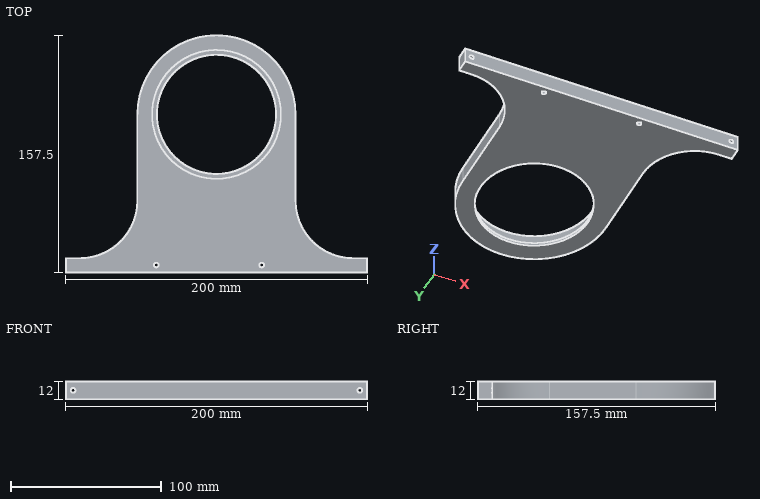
import cadquery as cq

foot_length = 200.0
thickness = 12.0
foot_height = 9.5

ring_radius = 52.5
ring_center_y = 105.0
corner_radius = 38.0

bore_diameter = 85.5
lip_diameter = 79.0
lip_thickness = 2.5

hole_diameter = 3.0
face_hole_spacing = 70.0
face_hole_shift = -5.0
face_hole_y = 5.0
edge_hole_spacing = 190.5
edge_hole_z = thickness / 2


def plate():
    """Foot and rounded upright, joined by concave quarter-circle corners."""
    half_foot = foot_length / 2
    corner_top = foot_height + corner_radius
    corner_end = ring_radius + corner_radius
    return (
        cq.Workplane("XY")
        .moveTo(-half_foot, 0)
        .lineTo(half_foot, 0)
        .lineTo(half_foot, foot_height)
        .lineTo(corner_end, foot_height)
        .radiusArc((ring_radius, corner_top), corner_radius)
        .lineTo(ring_radius, ring_center_y)
        .threePointArc((0, ring_center_y + ring_radius), (-ring_radius, ring_center_y))
        .lineTo(-ring_radius, corner_top)
        .radiusArc((-corner_end, foot_height), corner_radius)
        .lineTo(-half_foot, foot_height)
        .close()
        .extrude(thickness)
    )


def stepped_bore():
    """Through opening plus the wider bore above the lip."""
    base = cq.Workplane("XY").center(0, ring_center_y)
    opening = base.circle(lip_diameter / 2).extrude(thickness)
    seat = base.workplane(offset=lip_thickness).circle(bore_diameter / 2).extrude(thickness - lip_thickness)
    return opening.union(seat)


def face_holes():
    """Pair of vertical holes through the plate."""
    half = face_hole_spacing / 2
    return (
        cq.Workplane("XY")
        .pushPoints([(face_hole_shift - half, face_hole_y), (face_hole_shift + half, face_hole_y)])
        .circle(hole_diameter / 2)
        .extrude(thickness)
    )


def edge_holes():
    """Pair of holes along Y through the ends of the foot."""
    half = edge_hole_spacing / 2
    return (
        cq.Workplane("XZ")
        .pushPoints([(-half, edge_hole_z), (half, edge_hole_z)])
        .circle(hole_diameter / 2)
        .extrude(-foot_height)
    )


result = plate().cut(stepped_bore()).cut(face_holes()).cut(edge_holes())